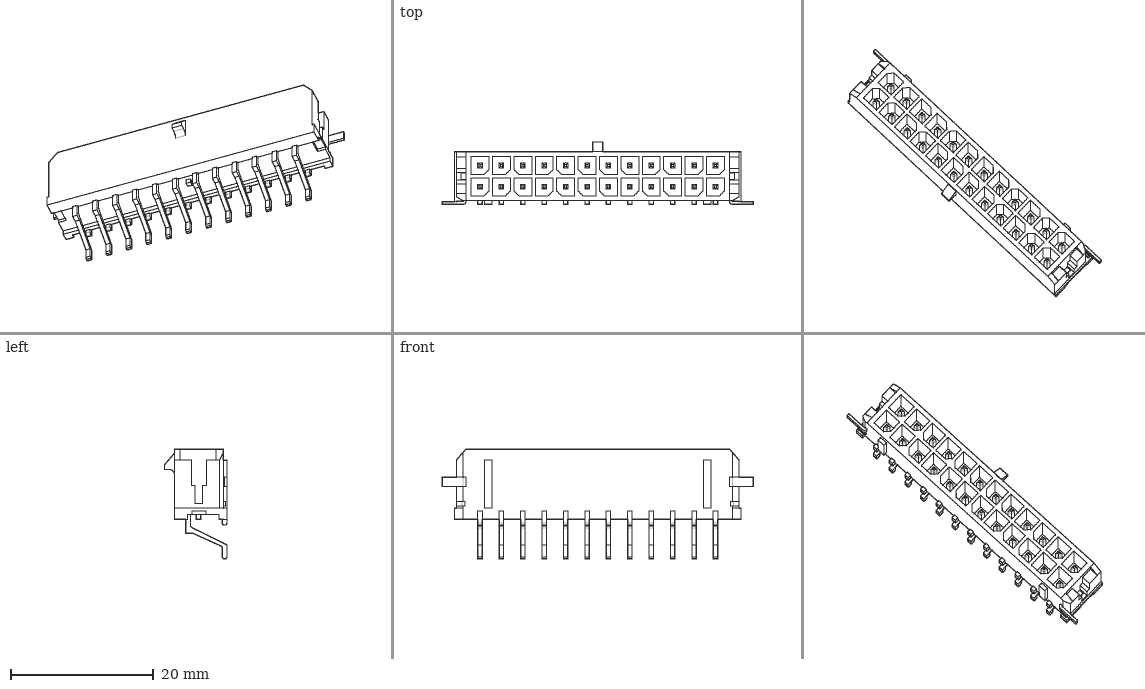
import cadquery as cq
import math

PITCH = 3.0
COLUMNS = 12
ROW_Y = {"rear": PITCH / 2, "front": -PITCH / 2}
OVERALL_LENGTH = 43.65
FRONT_Y = -3.94
CONTACT_BOTTOM_Z = -5.56

BODY_HEIGHT = 9.84
BODY_HALF_DEPTH = 3.43
POST_X = 19.82
CORE_X = 18.5
SHOULDER_Z = 8.3
CORNER_X = 18.9
CORNER_Y = -2.88
FOOT_X = 20.08
FOOT_HEIGHT = 1.58

SHOULDER_REAR_Y = 2.68
SHOULDER_FRONT_Y = -2.4
WIDE_SLOT_WIDTH = 2.14
WIDE_SLOT_Z = 4.73
NARROW_SLOT_WIDTH = 1.06
NARROW_SLOT_Z = 2.22
WELL_X = 19.18
WELL_WIDTH = 0.94
WELL_DEPTH = 0.5

CHANNEL_REAR_Y = 1.6
CHANNEL_FRONT_Y = -2.8
CHANNEL_TOP_Z = 0.66
FOOT_SLOT_WIDTH = 2.0
FOOT_SLOT_TOP_Z = 1.13
PEG_SIZE = 0.66
PEG_Y = 0.07
ROOT_Z = 1.2

CELL_SIZE = 2.52
CELL_KEY = 0.7
CELL_FLOOR_Z = 2.0
CELL_KEYS = {"rear": "RRLRLLLLRLRR", "front": "RRLRLLLRLLRR"}

CONTACT_SIZE = 0.64
PIN_TIP_Z = 7.2
PIN_TAPER_HEIGHT = 0.6
PIN_TIP_SIZE = 0.26
STUB_TOP_Z = 1.18
STUB_BOTTOM_Z = -0.82
TAIL_THICKNESS = 0.68
TAIL_CHAMFER_HEIGHT = 0.28
TAIL_CHAMFER_DEPTH = 0.16
STUB_FILLET = 0.3
LEAD_REAR_Y = 1.86
LEAD_BEND_TOP_Z = -0.97
LEAD_BEND_FACET = (0.88, -1.2)
LEAD_BEND_BOTTOM_Z = -1.97
LEAD_SLOPE_START_Y = 0.85
LEAD_KNEE_TOP_Z = -3.57
LEAD_KNEE_BOTTOM_Z = -3.84

RIB_X = 15.36
RIB_WIDTH = 1.09
RIB_BOTTOM_Z = 1.56

NAIL_THICKNESS = 0.38
NAIL_INNER_X = 18.46
BEND_RADIUS = 0.4
NAIL_BOTTOM_Z = 4.59
NAIL_TOP_Z = 5.92
STRIP_ROOT_Y = -3.0
CLIP_INNER_X = 18.6
CLIP_FRONT_Y = -3.72
CLIP_THICKNESS = 0.28
CLIP_BOTTOM_Z = 1.86
CLIP_TOP_Z = 2.5

LATCH_WIDTH = 1.47
LATCH_REAR_Y = 4.83
LATCH_TOP_Z = 9.27
LATCH_TIP_TOP_Z = 7.66
LATCH_TIP_BOTTOM_Z = 6.97
LATCH_FILLET = 0.7

SIDES = (-1, 1)
COLUMN_X = [(i - (COLUMNS - 1) / 2) * PITCH for i in range(COLUMNS)]


def box(x0, x1, y0, y1, z0, z1):
    """Axis-aligned box between two opposite corners, given in either order."""
    size = (abs(x1 - x0), abs(y1 - y0), abs(z1 - z0))
    return cq.Workplane("XY").box(*size).translate(((x0 + x1) / 2, (y0 + y1) / 2, (z0 + z1) / 2))


def extrude_along_x(profile, x_center, width):
    """Extrude a closed (Y, Z) wire profile symmetrically about x_center."""
    return profile.extrude(width / 2, both=True).translate((x_center, 0, 0))


def housing_body():
    footprint = [
        (-POST_X, BODY_HALF_DEPTH),
        (POST_X, BODY_HALF_DEPTH),
        (POST_X, CORNER_Y),
        (CORNER_X, -BODY_HALF_DEPTH),
        (-CORNER_X, -BODY_HALF_DEPTH),
        (-POST_X, CORNER_Y),
    ]
    silhouette = [
        (-POST_X, 0),
        (POST_X, 0),
        (POST_X, SHOULDER_Z),
        (CORE_X, BODY_HEIGHT),
        (-CORE_X, BODY_HEIGHT),
        (-POST_X, SHOULDER_Z),
    ]
    prism = cq.Workplane("XY").polyline(footprint).close().extrude(BODY_HEIGHT)
    outline = cq.Workplane("XZ").polyline(silhouette).close().extrude(2 * BODY_HALF_DEPTH, both=True)
    return prism.intersect(outline)


def end_foot(side):
    return box(side * CORNER_X, side * FOOT_X, FRONT_Y, BODY_HALF_DEPTH, 0, FOOT_HEIGHT)


def end_slots(side):
    """Shoulder recess and stepped slot between the two posts of one end."""
    core, outer = side * CORE_X, side * FOOT_X
    wide, narrow, well = WIDE_SLOT_WIDTH / 2, NARROW_SLOT_WIDTH / 2, WELL_WIDTH / 2
    slots = box(core, outer, SHOULDER_FRONT_Y, SHOULDER_REAR_Y, SHOULDER_Z, BODY_HEIGHT)
    slots = slots.union(box(core, outer, -wide, wide, WIDE_SLOT_Z, SHOULDER_Z))
    slots = slots.union(box(core, outer, -narrow, narrow, NARROW_SLOT_Z, WIDE_SLOT_Z))
    floor = NARROW_SLOT_Z - WELL_DEPTH
    return slots.union(box(core, side * WELL_X, -well, well, floor, NARROW_SLOT_Z))


def underside_channel():
    """Full-length channel under the housing, deeper beneath each end foot."""
    channel = box(-FOOT_X, FOOT_X, CHANNEL_FRONT_Y, CHANNEL_REAR_Y, 0, CHANNEL_TOP_Z)
    half = FOOT_SLOT_WIDTH / 2
    for side in SIDES:
        channel = channel.union(box(side * CORNER_X, side * FOOT_X, -half, half, 0, FOOT_SLOT_TOP_Z))
    return channel


def cell(x, y, key):
    """Square cell with one keyed corner on the front side."""
    half = CELL_SIZE / 2
    toward_key = 1 if key == "R" else -1
    outline = [
        (-toward_key * half, half),
        (toward_key * half, half),
        (toward_key * half, CELL_KEY - half),
        (toward_key * (half - CELL_KEY), -half),
        (-toward_key * half, -half),
    ]
    cutter = cq.Workplane("XY").polyline(outline).close().extrude(BODY_HEIGHT - CELL_FLOOR_Z)
    return cutter.translate((x, y, CELL_FLOOR_Z))


def pin(x, y):
    """Square pin standing on the cell floor, with a pyramid tip."""
    shoulder = PIN_TIP_Z - PIN_TAPER_HEIGHT
    taper = math.degrees(math.atan((CONTACT_SIZE - PIN_TIP_SIZE) / 2 / PIN_TAPER_HEIGHT))
    half = CONTACT_SIZE / 2
    shank = box(x - half, x + half, y - half, y + half, CELL_FLOOR_Z, shoulder)
    tip = cq.Workplane("XY").rect(CONTACT_SIZE, CONTACT_SIZE).extrude(PIN_TAPER_HEIGHT, taper=taper)
    return shank.union(tip.translate((x, y, shoulder)))


def front_stub(x):
    """Short solder tail of the front row, seated in the front wall."""
    half = CONTACT_SIZE / 2
    stub = box(x - half, x + half, FRONT_Y, FRONT_Y + TAIL_THICKNESS, STUB_BOTTOM_Z, STUB_TOP_Z)
    return stub.edges("|X and <Z").fillet(STUB_FILLET)


def rear_lead(x):
    """Rear-row tail: drops below the housing, slopes forward, then turns down."""
    upright_front_y = LEAD_REAR_Y - TAIL_THICKNESS
    tail_rear_y = FRONT_Y + TAIL_THICKNESS
    chamfer_top_z = CONTACT_BOTTOM_Z + TAIL_CHAMFER_HEIGHT
    profile = cq.Workplane("YZ").polyline([
        (LEAD_REAR_Y, ROOT_Z),
        (LEAD_REAR_Y, LEAD_BEND_BOTTOM_Z),
        (LEAD_SLOPE_START_Y, LEAD_BEND_BOTTOM_Z),
        (tail_rear_y, LEAD_KNEE_BOTTOM_Z),
        (tail_rear_y, chamfer_top_z),
        (tail_rear_y - TAIL_CHAMFER_DEPTH, CONTACT_BOTTOM_Z),
        (FRONT_Y + TAIL_CHAMFER_DEPTH, CONTACT_BOTTOM_Z),
        (FRONT_Y, chamfer_top_z),
        (FRONT_Y, LEAD_KNEE_TOP_Z),
        LEAD_BEND_FACET,
        (upright_front_y, LEAD_BEND_TOP_Z),
        (upright_front_y, ROOT_Z),
    ]).close()
    return extrude_along_x(profile, x, CONTACT_SIZE)


def front_rib(side):
    x0, x1 = side * RIB_X - RIB_WIDTH / 2, side * RIB_X + RIB_WIDTH / 2
    return box(x0, x1, FRONT_Y, -BODY_HALF_DEPTH, RIB_BOTTOM_Z, SHOULDER_Z)


def bent_strip(side, x_range, z_range, front_y, thickness):
    """L-shaped sheet strip: an outer blade and a leg rooted in the housing, with a round bend."""
    inner_x, outer_x = x_range
    blade = box(side * inner_x, side * outer_x, front_y, front_y + thickness, *z_range)
    leg = box(side * inner_x, side * (inner_x + thickness), front_y, STRIP_ROOT_Y, *z_range)
    bend = "|Z and <Y and " + ("<X" if side > 0 else ">X")
    return blade.union(leg).edges(bend).fillet(BEND_RADIUS)


def fitting_nail(side):
    """Solder blade reaching past the end, and the small clip below it."""
    blade_x = (NAIL_INNER_X, OVERALL_LENGTH / 2)
    blade = bent_strip(side, blade_x, (NAIL_BOTTOM_Z, NAIL_TOP_Z), FRONT_Y, NAIL_THICKNESS)
    clip_x = (CLIP_INNER_X, POST_X)
    clip = bent_strip(side, clip_x, (CLIP_BOTTOM_Z, CLIP_TOP_Z), CLIP_FRONT_Y, CLIP_THICKNESS)
    return [blade, clip]


def latch_ramp():
    arc_start_y = BODY_HALF_DEPTH + LATCH_FILLET
    inset = LATCH_FILLET * (1 - math.sqrt(0.5))
    arc_middle = (BODY_HALF_DEPTH + inset, LATCH_TIP_BOTTOM_Z - inset)
    profile = (
        cq.Workplane("YZ")
        .moveTo(0, LATCH_TOP_Z)
        .lineTo(BODY_HALF_DEPTH, LATCH_TOP_Z)
        .lineTo(LATCH_REAR_Y, LATCH_TIP_TOP_Z)
        .lineTo(LATCH_REAR_Y, LATCH_TIP_BOTTOM_Z)
        .lineTo(arc_start_y, LATCH_TIP_BOTTOM_Z)
        .threePointArc(arc_middle, (BODY_HALF_DEPTH, LATCH_TIP_BOTTOM_Z - LATCH_FILLET))
        .lineTo(0, LATCH_TIP_BOTTOM_Z - LATCH_FILLET)
        .close()
    )
    return extrude_along_x(profile, 0, LATCH_WIDTH)


def underside_peg():
    half = PEG_SIZE / 2
    return box(-half, half, PEG_Y - half, PEG_Y + half, 0, ROOT_Z)


housing = housing_body().union(latch_ramp())
for side in SIDES:
    housing = housing.union(end_foot(side))

cutters = [underside_channel()]
cutters += [end_slots(side) for side in SIDES]
for row, row_y in ROW_Y.items():
    cutters += [cell(x, row_y, key) for x, key in zip(COLUMN_X, CELL_KEYS[row])]
housing = housing.val().cut(*[cutter.val() for cutter in cutters])

details = [underside_peg()]
for side in SIDES:
    details += [front_rib(side), *fitting_nail(side)]
for x in COLUMN_X:
    details += [front_stub(x), rear_lead(x)]
    details += [pin(x, row_y) for row_y in ROW_Y.values()]
fused = housing.fuse(*[detail.val() for detail in details]).clean()

result = cq.Workplane("XY").newObject(fused.Solids())